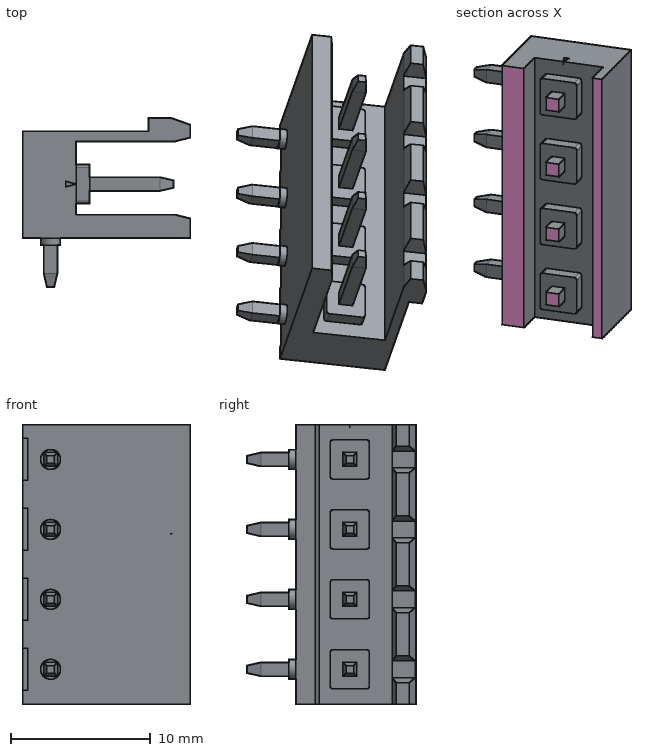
import cadquery as cq

LENGTH = 20.0
DEPTH = 12.0
HEIGHT = 7.65
BACK_THICKNESS = 3.82
CAVITY_BOTTOM = 1.68
CAVITY_TOP = 6.9
LEAD_IN_START = 10.9
LEAD_IN_RISE = 0.28

LATCH_START = 9.0
LATCH_SLOPE_START = 10.6
LATCH_TOP = 8.6
LATCH_NOSE = 8.1

NOTCH_FLOOR_X = 10.8
NOTCH_FLOOR_LENGTH = 1.2
NOTCH_MOUTH_LENGTH = 1.92

POLES = 4
PITCH = LENGTH / POLES
PIN_WIDTH = 1.0
PIN_TIP_WIDTH = 0.55
PIN_TAPER = 1.0
SOLDER_PIN_X = 2.0
SOLDER_PIN_LENGTH = 3.5
SOLDER_COLLAR_DIAMETER = 1.42
SOLDER_COLLAR_HEIGHT = 0.5
MATING_PIN_Y = 3.85
MATING_PIN_LENGTH = 6.98
MATING_COLLAR_WIDTH = 2.8
MATING_COLLAR_HEIGHT = 0.98
MATING_COLLAR_RADIUS = 0.2

POCKET_DEPTH = 0.38
POCKET_HEIGHT = 6.8
POCKET_LENGTH = 3.0

ARROW_LENGTH = 0.75
ARROW_WIDTH = 0.4
ARROW_DEPTH = 0.2


def housing():
    outline = [
        (0, 0),
        (DEPTH, 0),
        (DEPTH, CAVITY_BOTTOM - LEAD_IN_RISE),
        (LEAD_IN_START, CAVITY_BOTTOM),
        (BACK_THICKNESS, CAVITY_BOTTOM),
        (BACK_THICKNESS, CAVITY_TOP),
        (LEAD_IN_START, CAVITY_TOP),
        (DEPTH, CAVITY_TOP + LEAD_IN_RISE),
        (DEPTH, LATCH_NOSE),
        (LATCH_SLOPE_START, LATCH_TOP),
        (LATCH_START, LATCH_TOP),
        (LATCH_START, HEIGHT),
        (0, HEIGHT),
    ]
    return cq.Workplane("XY").polyline(outline).close().extrude(LENGTH)


def tapered_pin(base, length):
    """Square pin rising from the base plane, tapering at its tip."""
    shank_length = length - PIN_TAPER
    shank = cq.Workplane(base).rect(PIN_WIDTH, PIN_WIDTH).extrude(shank_length)
    tip = (
        cq.Workplane(base)
        .workplane(offset=shank_length)
        .rect(PIN_WIDTH, PIN_WIDTH)
        .workplane(offset=PIN_TAPER)
        .rect(PIN_TIP_WIDTH, PIN_TIP_WIDTH)
        .loft(ruled=True)
    )
    return shank.union(tip)


def solder_pin(z):
    base = cq.Plane(origin=(SOLDER_PIN_X, 0, z), xDir=(1, 0, 0), normal=(0, -1, 0))
    collar = cq.Workplane(base).circle(SOLDER_COLLAR_DIAMETER / 2).extrude(SOLDER_COLLAR_HEIGHT)
    return collar.union(tapered_pin(base, SOLDER_PIN_LENGTH))


def mating_pin(z):
    base = cq.Plane(origin=(BACK_THICKNESS, MATING_PIN_Y, z), xDir=(0, 1, 0), normal=(1, 0, 0))
    collar = (
        cq.Workplane(base)
        .rect(MATING_COLLAR_WIDTH, MATING_COLLAR_WIDTH)
        .extrude(MATING_COLLAR_HEIGHT)
        .edges("|X")
        .fillet(MATING_COLLAR_RADIUS)
    )
    return collar.union(tapered_pin(base, MATING_PIN_LENGTH))


def back_pocket(z):
    return cq.Workplane("XY").box(
        POCKET_DEPTH, POCKET_HEIGHT, POCKET_LENGTH, centered=(False, False, True)
    ).translate((0, 0, z))


def coding_notch(z):
    """Trapezoidal cutter that widens towards the free edge of the upper wall."""
    return (
        cq.Workplane("XZ", origin=(0, LATCH_TOP, z))
        .polyline([
            (NOTCH_FLOOR_X, -NOTCH_FLOOR_LENGTH / 2),
            (DEPTH, -NOTCH_MOUTH_LENGTH / 2),
            (DEPTH, NOTCH_MOUTH_LENGTH / 2),
            (NOTCH_FLOOR_X, NOTCH_FLOOR_LENGTH / 2),
        ])
        .close()
        .extrude(LATCH_TOP - CAVITY_TOP)
    )


def arrow():
    tail_x = BACK_THICKNESS - ARROW_LENGTH
    return (
        cq.Workplane("XY", origin=(0, MATING_PIN_Y, LENGTH - ARROW_DEPTH))
        .polyline([(tail_x, -ARROW_WIDTH / 2), (BACK_THICKNESS, 0), (tail_x, ARROW_WIDTH / 2)])
        .close()
        .extrude(ARROW_DEPTH)
    )


result = housing().cut(arrow())
for pole in range(POLES):
    pole_z = (pole + 0.5) * PITCH
    result = result.cut(back_pocket(pole_z)).cut(coding_notch(pole_z))
    result = result.union(solder_pin(pole_z)).union(mating_pin(pole_z))